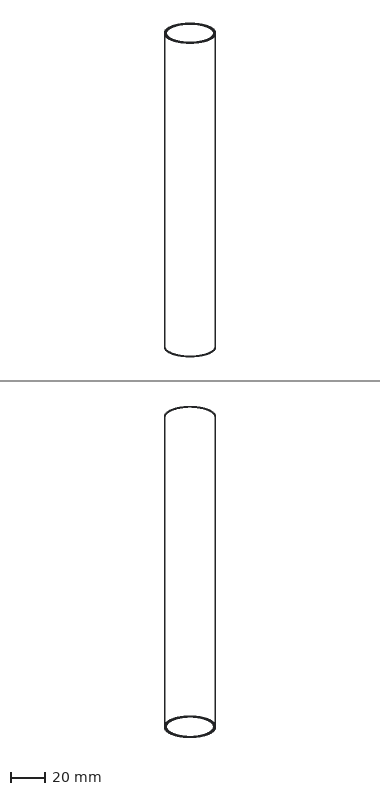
import cadquery as cq

length = 200.0
outer_diameter = 30.0
wall_thickness = 1.0

inner_diameter = outer_diameter - 2 * wall_thickness

result = (
    cq.Workplane("XY")
    .circle(outer_diameter / 2)
    .circle(inner_diameter / 2)
    .extrude(length)
)